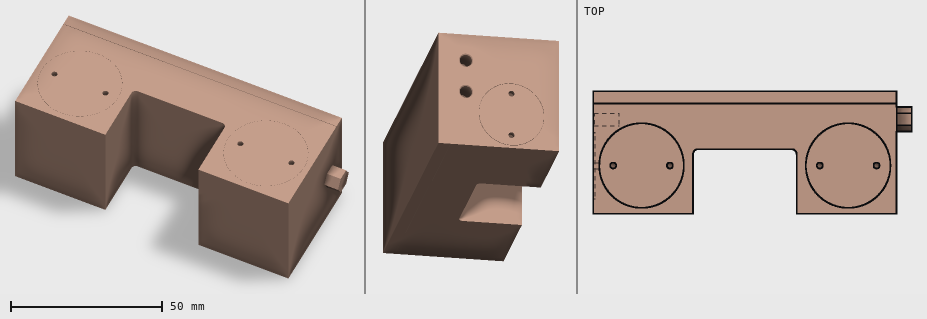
import cadquery as cq
import math

body_length = 100.1
total_depth = 40.5
height = 39.1
plate_thickness = 4.0
joint_gap = 0.1
housing_depth = total_depth - plate_thickness - joint_gap

arm_width = 33.0
channel_width = body_length - 2 * arm_width
channel_depth = 21.3
channel_corner_radius = 1.6

groove_depth = 0.5
top_cover_diameter = 27.9
top_groove_diameter = 28.0
cover_inset = 16.0
top_spanner_spacing = 18.7
side_cover_diameter = 21.8
side_groove_diameter = 22.0
side_cover_height = 11.9
side_spanner_spacing = 14.7
spanner_hole_diameter = 2.0
spanner_hole_depth = 2.1
drill_point_angle = 118

port_y = 31.2
port_a_height = 18.9
port_b_height = 30.0
port_diameter = 4.1
port_mouth_diameter = 4.7
port_depth = 8.4

total_length = 105.1
plug_length = total_length - body_length
plug_across_flats = 7.0
plug_sides = 6
plug_across_corners = plug_across_flats / math.cos(math.pi / plug_sides)


def face_plane(origin, normal):
    """Plane on an outer face, with its local Y axis along world Y."""
    y_axis = cq.Vector(0, 1, 0)
    return cq.Plane(origin=origin, xDir=y_axis.cross(cq.Vector(*normal)).toTuple(), normal=normal)


def drilled_hole(plane, x, diameter, depth):
    """Cutter for a blind hole with a conical drill point."""
    radius = diameter / 2
    point_length = radius / math.tan(math.radians(drill_point_angle / 2))
    profile = [(0, 0), (radius, 0), (radius, -depth), (0, -depth - point_length)]
    cutter = cq.Workplane("XZ").polyline(profile).close().revolve(360, (0, 0), (0, 1))
    return cq.Workplane(cutter.val().translate(cq.Vector(x, 0, 0)).moved(cq.Location(plane)))


def cut_cover(housing, plane, cover_diameter, groove_diameter, spanner_spacing):
    """Cut one cover's ring groove and its pair of spanner holes."""
    ring = cq.Workplane(plane).circle(groove_diameter / 2).circle(cover_diameter / 2)
    housing = housing.cut(ring.extrude(-groove_depth))
    for x in (-spanner_spacing / 2, spanner_spacing / 2):
        housing = housing.cut(drilled_hole(plane, x, spanner_hole_diameter, spanner_hole_depth))
    return housing


def cut_port(housing, port_height):
    """Cut one flat-bottomed port with a chamfered mouth into the left end."""
    plane = face_plane((0, port_y, port_height), (-1, 0, 0))
    bore = cq.Workplane(plane).circle(port_diameter / 2).extrude(-port_depth)
    mouth_depth = (port_mouth_diameter - port_diameter) / 2
    mouth = cq.Workplane(plane).circle(port_mouth_diameter / 2).extrude(-mouth_depth, taper=45)
    return housing.cut(bore).cut(mouth)


def make_housing():
    """U-shaped housing with its channel, cover outlines and ports."""
    housing = cq.Workplane().box(body_length, housing_depth, height, centered=False)
    channel = (
        cq.Workplane()
        .box(channel_width, channel_depth, height, centered=False)
        .edges("|Z and >Y")
        .fillet(channel_corner_radius)
        .translate((arm_width, 0, 0))
    )
    housing = housing.cut(channel)

    for x in (cover_inset, body_length - cover_inset):
        top_plane = face_plane((x, cover_inset, height), (0, 0, 1))
        housing = cut_cover(
            housing, top_plane, top_cover_diameter, top_groove_diameter, top_spanner_spacing
        )

    side_plane = face_plane((0, cover_inset, side_cover_height), (-1, 0, 0))
    housing = cut_cover(
        housing, side_plane, side_cover_diameter, side_groove_diameter, side_spanner_spacing
    )

    for port_height in (port_a_height, port_b_height):
        housing = cut_port(housing, port_height)
    return housing


def make_back_plate():
    """Flat plate behind the housing."""
    plate = cq.Workplane().box(body_length, plate_thickness, height, centered=False)
    return plate.translate((0, total_depth - plate_thickness, 0))


def make_plug():
    """Hexagonal plug with two flats facing up and down."""
    plane = face_plane((body_length, port_y, port_a_height), (1, 0, 0))
    plug = cq.Workplane(plane).transformed(rotate=(0, 0, 90))
    return plug.polygon(plug_sides, plug_across_corners).extrude(plug_length)


housing = make_housing()
back_plate = make_back_plate()
plug = make_plug()

result = cq.Compound.makeCompound([housing.val(), back_plate.val(), plug.val()])